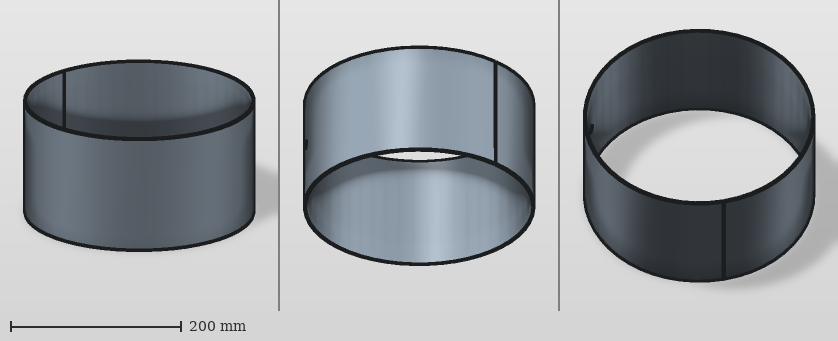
import cadquery as cq

outer_diameter = 270.0
height = 140.0
wall = 2.5

rim_chamfer_width = 0.67
outer_chamfer_height = 2.0
inner_chamfer_height = 1.0

split_angle = 1.0

hole_diameter = 10.0
hole_angle = 59.0

outer_radius = outer_diameter / 2
inner_radius = outer_radius - wall


def make_split_ring():
    """Revolve the chamfered wall section from the -X side, short of a full turn."""
    outer_rim_radius = outer_radius - rim_chamfer_width
    inner_rim_radius = inner_radius + rim_chamfer_width
    section = (
        cq.Workplane("XZ")
        .moveTo(-inner_rim_radius, 0)
        .lineTo(-outer_rim_radius, 0)
        .lineTo(-outer_radius, outer_chamfer_height)
        .lineTo(-outer_radius, height - outer_chamfer_height)
        .lineTo(-outer_rim_radius, height)
        .lineTo(-inner_rim_radius, height)
        .lineTo(-inner_radius, height - inner_chamfer_height)
        .lineTo(-inner_radius, inner_chamfer_height)
        .close()
    )
    return section.revolve(360 - split_angle, (0, 0, 0), (0, 1, 0))


def make_hole_cutter():
    """Rod along X from the axis past the wall, turned to the hole's direction."""
    along_x = (
        cq.Workplane("YZ")
        .center(0, height / 2)
        .circle(hole_diameter / 2)
        .extrude(outer_diameter)
    )
    return along_x.rotate((0, 0, 0), (0, 0, 1), hole_angle)


result = make_split_ring().cut(make_hole_cutter())